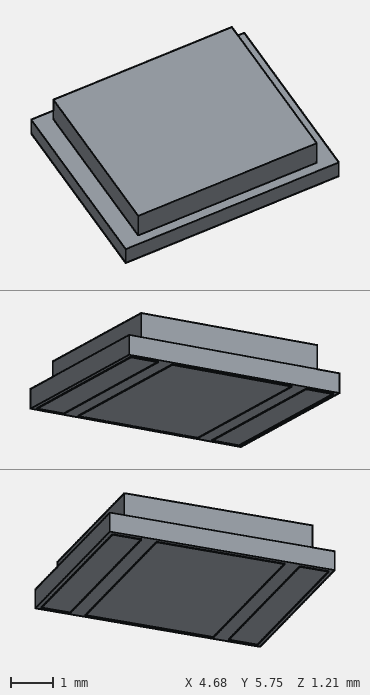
import cadquery as cq

board_width = 4.68
board_length = 5.75
board_height = 0.495

lid_width = 4.2
lid_length = 4.81

pad_thickness = 0.02
pad_edge_inset = 0.11
end_pad_length = 0.74
middle_pad_length = 3.27

overall_height = 1.21
lid_height = overall_height - board_height - pad_thickness

pad_width = board_width - 2 * pad_edge_inset
end_pad_y = board_length / 2 - pad_edge_inset - end_pad_length / 2


def block(width, length, height, bottom_z, center_y=0):
    """Box centred on X, resting on the given height."""
    return (
        cq.Workplane("XY")
        .box(width, length, height, centered=(True, True, False))
        .translate((0, center_y, bottom_z))
    )


board_top = pad_thickness + board_height
result = block(board_width, board_length, board_height, pad_thickness)
result = result.union(block(lid_width, lid_length, lid_height, board_top))

pads = [
    (middle_pad_length, 0),
    (end_pad_length, end_pad_y),
    (end_pad_length, -end_pad_y),
]
for pad_length, pad_y in pads:
    result = result.union(block(pad_width, pad_length, pad_thickness, 0, pad_y))